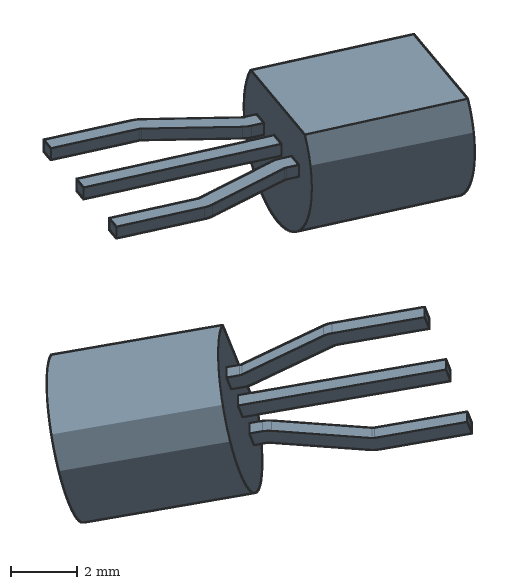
import cadquery as cq
import math

total_length = 11.84
housing_length = 5.35
housing_radius = 2.6
flat_height = 1.59

lead_length = total_length - housing_length
lead_width = 0.56
lead_thickness = 0.41
lead_center_z = 0.07

overall_width = 5.56
root_offset = 1.34
tip_offset = (overall_width - lead_width) / 2
first_corner_depth = 0.5
second_corner_depth = 3.5
inner_bend_radius = 0.2
bend_radius = inner_bend_radius + lead_width / 2
bend_angle = math.atan2(tip_offset - root_offset, second_corner_depth - first_corner_depth)
bend_setback = bend_radius * math.tan(bend_angle / 2)


def make_housing():
    half_flat = math.sqrt(housing_radius**2 - flat_height**2)
    return (
        cq.Workplane("XZ")
        .moveTo(-half_flat, flat_height)
        .threePointArc((0, -housing_radius), (half_flat, flat_height))
        .close()
        .extrude(-housing_length)
    )


def lead_section(x):
    """Rectangular lead section on the lead face."""
    return cq.Workplane("XZ").center(x, lead_center_z).rect(lead_width, lead_thickness)


def make_straight_lead():
    return lead_section(0).extrude(lead_length)


def make_bent_lead(side):
    """Lead that bends outward, then back parallel to Y; side is -1 or 1."""
    slant_x = bend_setback * math.sin(bend_angle)
    slant_y = bend_setback * math.cos(bend_angle)
    centerline = (
        cq.Workplane("XY", origin=(0, 0, lead_center_z))
        .moveTo(side * root_offset, 0)
        .lineTo(side * root_offset, -first_corner_depth + bend_setback)
        .tangentArcPoint((side * (root_offset + slant_x), -first_corner_depth - slant_y), relative=False)
        .lineTo(side * (tip_offset - slant_x), -second_corner_depth + slant_y)
        .tangentArcPoint((side * tip_offset, -second_corner_depth - bend_setback), relative=False)
        .lineTo(side * tip_offset, -lead_length)
    )
    return lead_section(side * root_offset).sweep(centerline)


housing = make_housing()
straight_lead = make_straight_lead()
bent_leads = [make_bent_lead(side) for side in (-1, 1)]

result = cq.Compound.makeCompound(
    [housing.val(), straight_lead.val(), *[lead.val() for lead in bent_leads]]
)